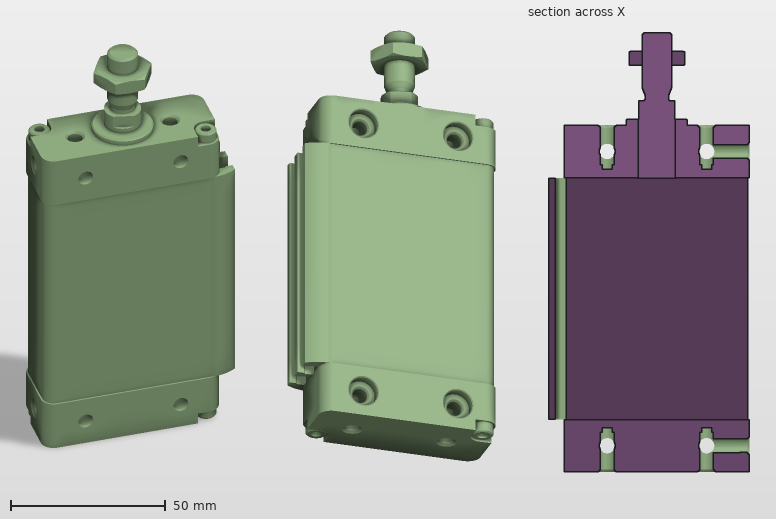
import cadquery as cq
import math


CAP_X = 24.0
CAP_Y = 59.9
CAP_HEIGHT = 17.0
CAP_CORNER_RADIUS = 4.3
CAP_TOP = 112.0
FRONT_CAP_Z = CAP_TOP - CAP_HEIGHT

COLLAR_DIAMETER = 20.0
COLLAR_HEIGHT = 2.0
COLLAR_CHAMFER = 0.4

SCREW_HEAD_DIAMETER = 7.0
SCREW_HEAD_CHAMFER = 0.4
SCREW_HEAD_GAP = 0.3
SOCKET_DIAMETER = 3.4
SOCKET_DEPTH = 2.1
DRILL_TIP_ANGLE = 118
RECESS_DIAMETER = 7.7
RECESS_DEPTH = 3.8
SCREW_X = CAP_X / 2 - CAP_CORNER_RADIUS
SCREW_Y = CAP_Y / 2 - CAP_CORNER_RADIUS

HOLE_SPACING = 32.1
HOLE_INSET = 8.5
THREAD_HOLE_DIAMETER = 5.0
THREAD_MOUTH_DIAMETER = 6.5
PORT_DEPTH = 13.9
FACE_HOLE_DEPTH = 12.8
PILOT_DIAMETER = 4.0
PILOT_DEPTH = 14.2
MOUNT_HOLE_DIAMETER = 5.0
MOUNT_CHAMFER = 0.5
COUNTERBORE_DIAMETER = 9.8
COUNTERBORE_MOUTH_DIAMETER = 10.5
COUNTERBORE_DEPTH = 3.5

BARREL_INSET = 0.5
BARREL_CORNER_RADIUS = 3.5
BARREL_HALF_X = CAP_X / 2 - BARREL_INSET
BARREL_FRONT_Y = -CAP_Y / 2 + BARREL_INSET
BARREL_LENGTH = CAP_TOP - 2 * CAP_HEIGHT

RAIL_TOP_Y = 35.1
RAIL_TOP_HALF_X = 9.2
RAIL_STEP = 0.1
RAIL_STEP_START_Y = 27.0
RAIL_STEP_END_Y = 27.8
SLOT_FLOOR_Y = CAP_Y / 2 - BARREL_INSET
SLOT_LIP_Y = 33.0
SLOT_TAPER = 0.5
SLOT_MOUTH_START_X = 1.5
SLOT_MOUTH_END_X = 6.8
SLOT_UNDERCUT = 0.5

ROD_DIAMETER = 12.0
ROD_SHOULDER_Z = 120.0
FLAT_WIDTH = 10.0
FLAT_START_Z = 115.9
FLAT_TURN = -12.5
NECK_DIAMETER = 8.2
NECK_FILLET = 0.4
NECK_TOP_Z = 121.7
THREAD_DIAMETER = 10.0
THREAD_START_Z = 124.0
ROD_END_Z = 142.0
THREAD_CHAMFER = 0.7

NUT_ACROSS_FLATS = 17.0
NUT_THICKNESS = 4.7
NUT_BASE_Z = 131.2
NUT_CHAMFER_ANGLE = 20


def cylinder(diameter, z, height):
    return cq.Workplane("XY").workplane(offset=z).circle(diameter / 2).extrude(height)


def revolved(profile):
    """Revolve (radius, axial position) points about the Z axis."""
    return cq.Workplane("XZ").polyline(profile).close().revolve(360, (0, 0), (0, 1))


def drill_tip(radius):
    """Height of the conical end left by a drill of the given radius."""
    return radius / math.tan(math.radians(DRILL_TIP_ANGLE / 2))


def drilled_hole(depth):
    """Cutter for a hole entering at Z = 0 and going down, with a chamfered mouth."""
    radius = THREAD_HOLE_DIAMETER / 2
    mouth = THREAD_MOUTH_DIAMETER / 2
    return revolved([(0, 0), (mouth, 0), (radius, radius - mouth), (radius, -depth), (0, -depth)])


def face_hole():
    """Cutter for a face hole that crosses a mounting hole and ends in a narrower pilot."""
    return drilled_hole(FACE_HOLE_DEPTH).union(cylinder(PILOT_DIAMETER, -PILOT_DEPTH, PILOT_DEPTH))


def screw_recess():
    """Cutter for the corner pocket round a screw head on the Z axis, open toward +X and +Y."""
    radius = RECESS_DIAMETER / 2
    size = radius + 2 * CAP_CORNER_RADIUS
    block = cq.Workplane("XY").box(size, size, RECESS_DEPTH, centered=False)
    return block.edges("|Z and <X and <Y").fillet(radius).translate((-radius, -radius, -RECESS_DEPTH))


def screw_head():
    """Socket screw head on the Z axis, standing on the recess floor, its top just below Z = 0."""
    top = -SCREW_HEAD_GAP
    head = cylinder(SCREW_HEAD_DIAMETER, -RECESS_DEPTH, RECESS_DEPTH + top)
    head = head.faces(">Z").chamfer(SCREW_HEAD_CHAMFER)
    radius = SOCKET_DIAMETER / 2
    floor = top - SOCKET_DEPTH
    socket = revolved([(0, top), (radius, top), (radius, floor), (0, floor - drill_tip(radius))])
    return head.cut(socket)


def mounting_hole():
    """Cutter for a through hole along X, counterbored on the -X side."""
    face = -CAP_X / 2
    floor = face + COUNTERBORE_DEPTH
    hole = MOUNT_HOLE_DIAMETER / 2
    bore = COUNTERBORE_DIAMETER / 2
    mouth = COUNTERBORE_MOUTH_DIAMETER / 2
    profile = [
        (face, 0),
        (face, mouth),
        (face + mouth - bore, bore),
        (floor, bore),
        (floor, hole + MOUNT_CHAMFER),
        (floor + MOUNT_CHAMFER, hole),
        (-face, hole),
        (-face, 0),
    ]
    return cq.Workplane("XY").polyline(profile).close().revolve(360, (0, 0), (1, 0))


def end_cap():
    """Cap with its outer face at Z = 0 and its body below, including its two fused screw heads."""
    cap = cq.Workplane("XY").rect(CAP_X, CAP_Y).extrude(-CAP_HEIGHT)
    cap = cap.edges("|Z").fillet(CAP_CORNER_RADIUS)
    for side in (-1, 1):
        hole_y = side * HOLE_SPACING / 2
        cap = cap.cut(mounting_hole().translate((0, hole_y, -HOLE_INSET)))
        cap = cap.cut(face_hole().translate((0, hole_y, 0)))
    port = drilled_hole(PORT_DEPTH).rotate((0, 0, 0), (1, 0, 0), 90)
    cap = cap.cut(port.translate((0, -CAP_Y / 2, -HOLE_INSET)))
    recess = screw_recess().translate((SCREW_X, SCREW_Y, 0))
    head = screw_head().translate((SCREW_X, SCREW_Y, 0))
    for turn in (0, 180):
        cap = cap.cut(recess.rotate((0, 0, 0), (0, 0, 1), turn))
        cap = cap.union(head.rotate((0, 0, 0), (0, 0, 1), turn))
    return cap


def make_front_cap():
    cap = end_cap()
    collar = cylinder(COLLAR_DIAMETER, 0, COLLAR_HEIGHT).faces(">Z").chamfer(COLLAR_CHAMFER)
    rod_bore = cylinder(ROD_DIAMETER, -CAP_HEIGHT, CAP_HEIGHT + COLLAR_HEIGHT)
    return cap.union(collar).cut(rod_bore).translate((0, 0, CAP_TOP))


def make_rear_cap():
    return end_cap().mirror("XY")


def sensor_slot():
    """Cutter for the +X sensor slot: a narrow mouth that widens toward the floor."""
    inner = SLOT_MOUTH_START_X
    outer = SLOT_MOUTH_END_X
    taper_end = SLOT_LIP_Y - SLOT_TAPER
    profile = [
        (inner, RAIL_TOP_Y),
        (inner, SLOT_LIP_Y),
        (inner - SLOT_UNDERCUT, taper_end),
        (inner - SLOT_UNDERCUT, SLOT_FLOOR_Y),
        (outer + SLOT_UNDERCUT, SLOT_FLOOR_Y),
        (outer + SLOT_UNDERCUT, taper_end),
        (outer, SLOT_LIP_Y),
        (outer, RAIL_TOP_Y),
    ]
    return cq.Workplane("XY").polyline(profile).close().extrude(BARREL_LENGTH)


def make_barrel():
    side_x = BARREL_HALF_X
    rail_x = side_x + RAIL_STEP
    flank_x = rail_x - RAIL_TOP_HALF_X
    flank_y = RAIL_TOP_Y - RAIL_STEP_END_Y
    flank_radius = (flank_x**2 + flank_y**2) / (2 * flank_x)
    body = (
        cq.Workplane("XY")
        .moveTo(-side_x, BARREL_FRONT_Y)
        .lineTo(side_x, BARREL_FRONT_Y)
        .lineTo(side_x, RAIL_STEP_START_Y)
        .lineTo(rail_x, RAIL_STEP_END_Y)
        .radiusArc((RAIL_TOP_HALF_X, RAIL_TOP_Y), -flank_radius)
        .lineTo(-RAIL_TOP_HALF_X, RAIL_TOP_Y)
        .radiusArc((-rail_x, RAIL_STEP_END_Y), -flank_radius)
        .lineTo(-side_x, RAIL_STEP_START_Y)
        .close()
        .extrude(BARREL_LENGTH)
        .edges("|Z and <Y")
        .fillet(BARREL_CORNER_RADIUS)
    )
    slot = sensor_slot()
    return body.cut(slot).cut(slot.mirror("YZ")).translate((0, 0, CAP_HEIGHT))


def make_rod():
    rod = ROD_DIAMETER / 2
    neck = NECK_DIAMETER / 2
    thread = THREAD_DIAMETER / 2
    body = (
        cq.Workplane("XZ")
        .moveTo(0, FRONT_CAP_Z)
        .lineTo(rod, FRONT_CAP_Z)
        .lineTo(rod, ROD_SHOULDER_Z)
        .lineTo(neck + NECK_FILLET, ROD_SHOULDER_Z)
        .radiusArc((neck, ROD_SHOULDER_Z + NECK_FILLET), NECK_FILLET)
        .lineTo(neck, NECK_TOP_Z)
        .lineTo(thread, THREAD_START_Z)
        .lineTo(thread, ROD_END_Z - THREAD_CHAMFER)
        .lineTo(thread - THREAD_CHAMFER, ROD_END_Z)
        .lineTo(0, ROD_END_Z)
        .close()
        .revolve(360, (0, 0), (0, 1))
    )
    flat_height = ROD_SHOULDER_Z - FLAT_START_Z
    flats = cq.Workplane("XY").rect(2 * ROD_DIAMETER, 2 * ROD_DIAMETER).extrude(flat_height)
    flats = flats.cut(cq.Workplane("XY").rect(FLAT_WIDTH, 2 * ROD_DIAMETER).extrude(flat_height))
    flats = flats.rotate((0, 0, 0), (0, 0, 1), FLAT_TURN)
    return body.cut(flats.translate((0, 0, FLAT_START_Z)))


def make_nut():
    """Hexagon nut with two corners on the Y axis and conical chamfers at both ends."""
    corner_radius = NUT_ACROSS_FLATS / math.sqrt(3)
    hexagon = cq.Workplane("XY").polygon(6, 2 * corner_radius).extrude(NUT_THICKNESS)
    hexagon = hexagon.rotate((0, 0, 0), (0, 0, 1), 90)
    face_radius = NUT_ACROSS_FLATS / 2
    drop = (corner_radius - face_radius) * math.tan(math.radians(NUT_CHAMFER_ANGLE))
    envelope = revolved([
        (0, 0),
        (face_radius, 0),
        (corner_radius, drop),
        (corner_radius, NUT_THICKNESS - drop),
        (face_radius, NUT_THICKNESS),
        (0, NUT_THICKNESS),
    ])
    nut = hexagon.intersect(envelope).cut(cylinder(THREAD_DIAMETER, 0, NUT_THICKNESS))
    return nut.translate((0, 0, NUT_BASE_Z))


front_cap = make_front_cap()
rear_cap = make_rear_cap()
barrel = make_barrel()
rod = make_rod()
nut = make_nut()

result = cq.Compound.makeCompound([front_cap.val(), rear_cap.val(), barrel.val(), rod.val(), nut.val()])